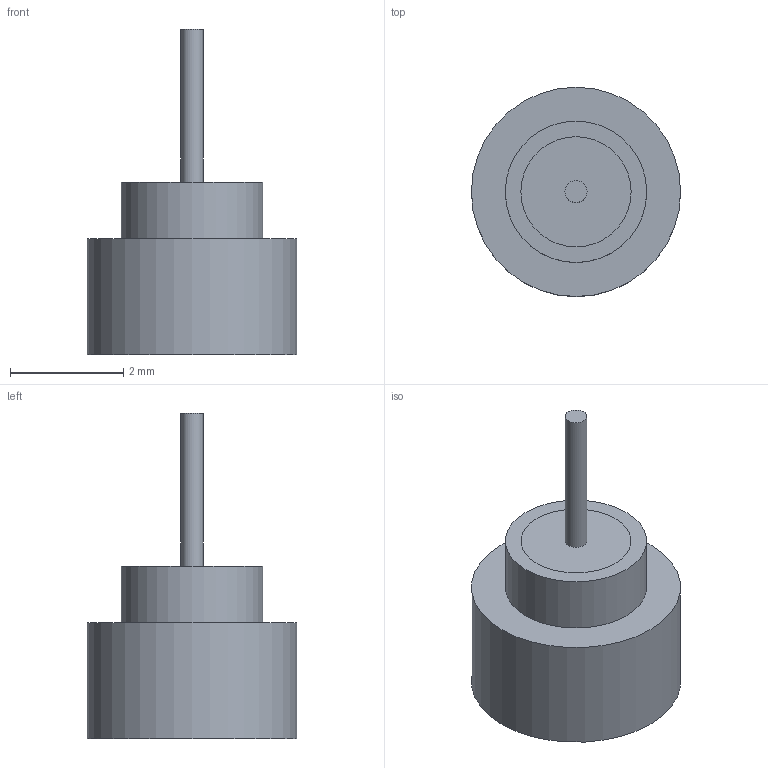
import cadquery as cq

body_diameter = 3.7
body_height = 2.05
neck_diameter = 2.5
neck_height = 1.0
seal_diameter = 1.95
pin_diameter = 0.39
pin_length = 2.7

neck_top = body_height + neck_height


def cylinder(diameter, bottom, height):
    """Upright cylinder on the Z axis."""
    return cq.Workplane("XY").workplane(offset=bottom).circle(diameter / 2).extrude(height)


body = cylinder(body_diameter, 0, body_height)
neck = cylinder(neck_diameter, body_height, neck_height)
seal = cylinder(seal_diameter, body_height, neck_height)
pin = cylinder(pin_diameter, neck_top, pin_length)

sleeve = neck.cut(seal)
result = body.union(sleeve).union(seal, clean=False).union(pin, clean=False)